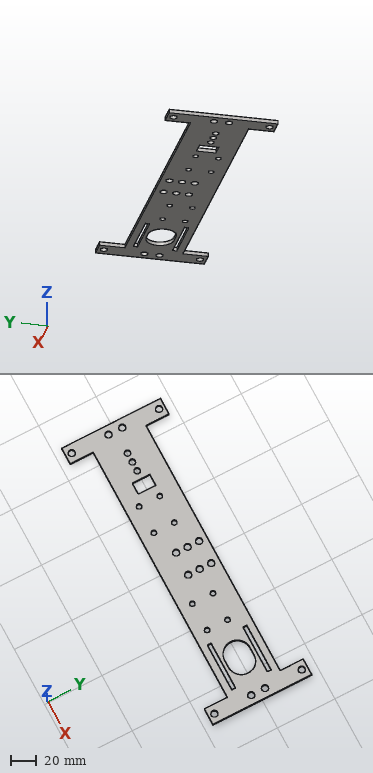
import cadquery as cq

length = 250.0
crossbar_span = 86.0
crossbar_width = 14.0
web_width = 46.0
thickness = 3.0

mount_diameter = 5.5
mount_x = (length - crossbar_width) / 2
mount_outer_y = 38.0
mount_inner_y = 6.0

grid_diameter = 5.5
grid_pitch_x = 20.0
grid_pitch_y = 10.0
grid_center_y = 6.0

small_diameter = 4.2
small_group_xs = (-44.0, 44.0)
small_pitch_x = 24.0
small_upper_y = 6.0
small_lower_left_y = -12.0
small_lower_right_y = -11.8

row_diameter = 5.0
row_center_x = -90.0
row_pitch = 8.0

window_x = -70.0
window_y = -0.2
window_length = 10.0
window_width = 15.2

opening_x = 87.0
opening_length = 28.5
opening_width = 22.0
slot_length = 40.5
slot_width = 3.2
slot_y = 15.5


def cut_holes(body, diameter, points):
    """Drill round holes through the plate at the given points."""
    cutter = cq.Workplane("XY").pushPoints(points).circle(diameter / 2).extrude(thickness)
    return body.cut(cutter)


def cut_rectangles(body, size_x, size_y, points):
    """Cut rectangles through the plate at the given center points."""
    cutter = cq.Workplane("XY").pushPoints(points).rect(size_x, size_y).extrude(thickness)
    return body.cut(cutter)


plate = cq.Workplane("XY").rect(length, web_width).extrude(thickness)
crossbars = (
    cq.Workplane("XY")
    .pushPoints([(-mount_x, 0), (mount_x, 0)])
    .rect(crossbar_width, crossbar_span)
    .extrude(thickness)
)
plate = plate.union(crossbars)

mount_ys = (-mount_outer_y, -mount_inner_y, mount_inner_y, mount_outer_y)
mount_points = [(x, y) for x in (-mount_x, mount_x) for y in mount_ys]
plate = cut_holes(plate, mount_diameter, mount_points)

grid_points = [
    (side * grid_pitch_x / 2, grid_center_y + step * grid_pitch_y)
    for side in (-1, 1)
    for step in (-1, 0, 1)
]
plate = cut_holes(plate, grid_diameter, grid_points)

small_points = []
for group_x in small_group_xs:
    left_x = group_x - small_pitch_x / 2
    right_x = group_x + small_pitch_x / 2
    small_points += [
        (left_x, small_upper_y),
        (right_x, small_upper_y),
        (left_x, small_lower_left_y),
        (right_x, small_lower_right_y),
    ]
plate = cut_holes(plate, small_diameter, small_points)

row_points = [(row_center_x + step * row_pitch, 0) for step in (-1, 0, 1)]
plate = cut_holes(plate, row_diameter, row_points)

plate = cut_rectangles(plate, window_length, window_width, [(window_x, window_y)])
plate = cut_rectangles(plate, slot_length, slot_width, [(opening_x, -slot_y), (opening_x, slot_y)])

opening = (
    cq.Workplane("XY")
    .center(opening_x, 0)
    .slot2D(opening_length, opening_width)
    .extrude(thickness)
)
result = plate.cut(opening)